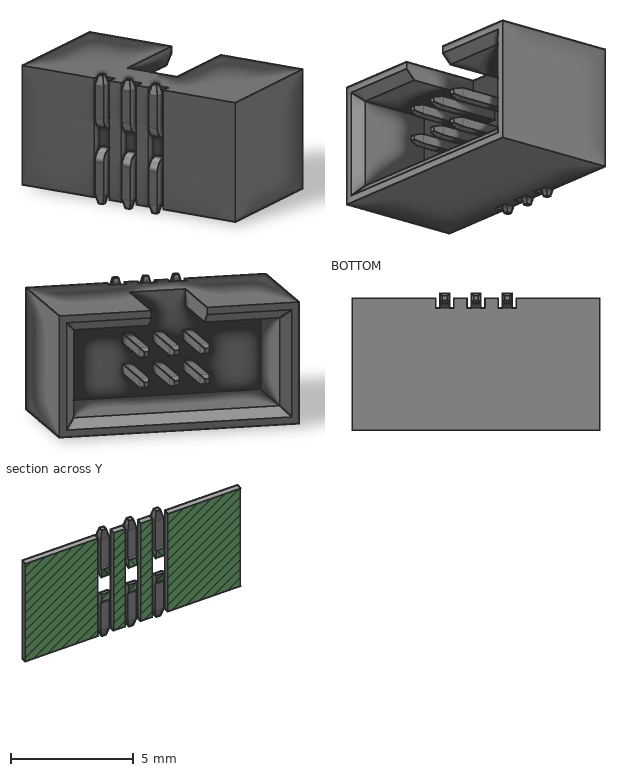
import cadquery as cq
import math

housing_length = 10.11
housing_depth = 5.4
housing_height = 5.1

cavity_wall = 0.71
cavity_depth = 3.51
lead_in = 0.4
cavity_length = housing_length - 2 * cavity_wall
cavity_height = housing_height - 2 * cavity_wall
cavity_floor_y = housing_depth - cavity_depth

key_slot_width = 2.35

pin_count = 3
pitch = 1.27
pin_size = 0.4
pin_protrusion = 0.2
tip_size = 0.2
tip_length = 0.4
inner_bend_radius = 0.1
outer_bend_radius = inner_bend_radius + pin_size
tail_reach = 2.75
pin_end_y = housing_depth - lead_in
row_offset = pitch / 2
pin_columns = [(i - (pin_count - 1) / 2) * pitch for i in range(pin_count)]

groove_width = 0.72
groove_depth = 0.4


def block(length, y_start, y_end, height):
    """Box centred on X and Z, spanning the given Y range."""
    middle_y = (y_start + y_end) / 2
    return cq.Workplane("XY").box(length, y_end - y_start, height).translate((0, middle_y, 0))


def make_cavity():
    """Rectangular pocket with a 45 degree lead-in around its mouth."""
    pocket = block(cavity_length, cavity_floor_y, housing_depth, cavity_height)
    mouth = (
        cq.Workplane("XZ", origin=(0, housing_depth, 0))
        .rect(cavity_length + 2 * lead_in, cavity_height + 2 * lead_in)
        .extrude(lead_in, taper=45)
    )
    return pocket.union(mouth)


def make_key_slot():
    """Slot from the middle of the cavity up through the top wall."""
    slot_height = housing_height / 2
    slot = block(key_slot_width, cavity_floor_y, housing_depth, slot_height)
    return slot.translate((0, 0, slot_height / 2))


def make_housing():
    """Block with its cavity, key slot, front grooves and pin holes."""
    housing = block(housing_length, 0, housing_depth, housing_height)
    housing = housing.cut(make_cavity()).cut(make_key_slot())
    for x in pin_columns:
        groove = block(groove_width, 0, groove_depth, housing_height)
        housing = housing.cut(groove.translate((x, 0, 0)))
        pin_hole = block(pin_size, groove_depth, cavity_floor_y, pin_size)
        for z in (row_offset, -row_offset):
            housing = housing.cut(pin_hole.translate((x, 0, z)))
    return housing


def make_tip(plane, origin):
    """Square tip narrowing along the normal of the plane."""
    return (
        cq.Workplane(plane, origin=origin)
        .rect(pin_size, pin_size)
        .workplane(offset=tip_length)
        .rect(tip_size, tip_size)
        .loft(ruled=True)
    )


def make_upper_pin():
    """Right-angle pin: straight contact along Y, tail rising in front of the housing."""
    front_y = -pin_protrusion
    back_y = front_y + pin_size
    bottom_z = row_offset - pin_size / 2
    top_z = row_offset + pin_size / 2
    bend_y = front_y + outer_bend_radius
    bend_z = bottom_z + outer_bend_radius
    contact_end_y = pin_end_y - tip_length
    tail_end_z = tail_reach - tip_length
    diagonal = math.sqrt(0.5)

    shank = (
        cq.Workplane("YZ", origin=(-pin_size / 2, 0, 0))
        .moveTo(contact_end_y, bottom_z)
        .lineTo(bend_y, bottom_z)
        .threePointArc(
            (bend_y - outer_bend_radius * diagonal, bend_z - outer_bend_radius * diagonal),
            (front_y, bend_z),
        )
        .lineTo(front_y, tail_end_z)
        .lineTo(back_y, tail_end_z)
        .lineTo(back_y, bend_z)
        .threePointArc(
            (bend_y - inner_bend_radius * diagonal, bend_z - inner_bend_radius * diagonal),
            (bend_y, top_z),
        )
        .lineTo(contact_end_y, top_z)
        .close()
        .extrude(pin_size)
    )
    contact_tip = make_tip("ZX", (0, contact_end_y, row_offset))
    tail_tip = make_tip("XY", (0, (front_y + back_y) / 2, tail_end_z))
    return shank.union(contact_tip).union(tail_tip)


housing = make_housing()

upper_pin = make_upper_pin()
lower_pin = upper_pin.rotate((0, 0, 0), (0, 1, 0), 180)

pins = []
for column_x in pin_columns:
    for pin in (upper_pin, lower_pin):
        pins.append(pin.translate((column_x, 0, 0)).solids().val())

result = cq.Compound.makeCompound([housing.solids().val(), *pins])